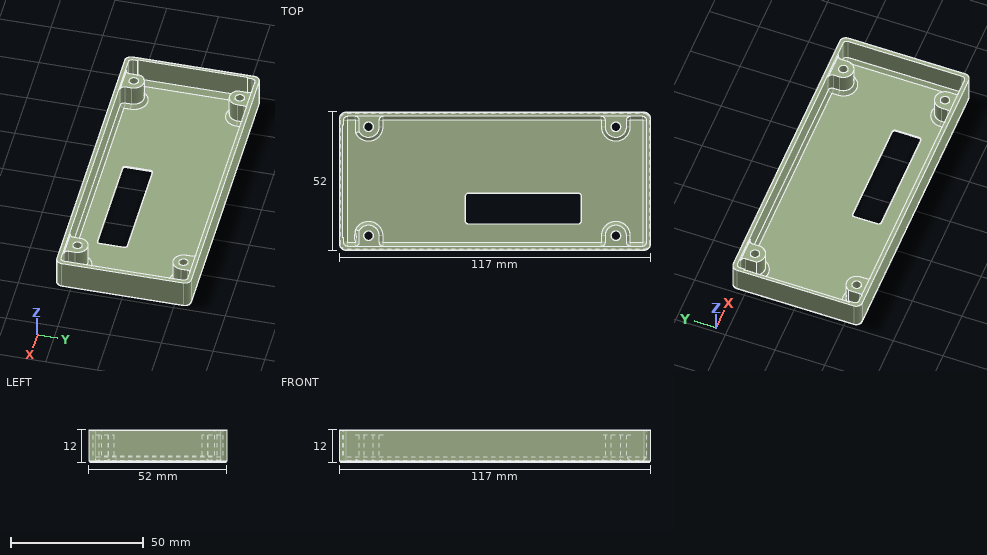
import cadquery as cq
import math

LENGTH = 117.0
WIDTH = 52.0
HEIGHT = 12.0
CORNER_RADIUS = 2.5
BOTTOM_CHAMFER = 0.5

WALL = 1.5
FLOOR = 0.6
INNER_RADIUS = 1.5
FLOOR_CHAMFER = 1.4

RELIEF_DEPTH = 0.4
RELIEF_WIDTH = 42.4

POST_CENTER_X = -1.0
POST_SPACING_X = 93.0
POST_SPACING_Y = 41.0
POST_RADIUS = 4.0
POST_FLAT_OFFSET = 3.5
POST_TOP_DROP = 1.8
HOLE_DIAMETER = 3.5

WINDOW_LENGTH = 43.5
WINDOW_WIDTH = 11.5
WINDOW_X = 10.6
WINDOW_Y = -10.3
WINDOW_RADIUS = 1.0

CAVITY_LENGTH = LENGTH - 2 * WALL
CAVITY_WIDTH = WIDTH - 2 * WALL
POST_TOP = HEIGHT - POST_TOP_DROP
POST_POINTS = [
    (POST_CENTER_X + side_x * POST_SPACING_X / 2, side_y * POST_SPACING_Y / 2)
    for side_x in (-1, 1)
    for side_y in (-1, 1)
]


def outer_block():
    block = cq.Workplane("XY").rect(LENGTH, WIDTH).extrude(HEIGHT)
    block = block.edges("|Z").fillet(CORNER_RADIUS)
    return block.faces("<Z").edges().chamfer(BOTTOM_CHAMFER)


def post_blank(x, y):
    """Round-ended post that runs outward past the cavity side; -X posts have a flat."""
    round_end = cq.Workplane("XY").center(x, y).circle(POST_RADIUS).extrude(HEIGHT)
    reach = math.copysign(WIDTH / 2, y) - y
    web = (
        cq.Workplane("XY")
        .center(x, y + reach / 2)
        .rect(2 * POST_RADIUS, abs(reach))
        .extrude(HEIGHT)
    )
    post = round_end.union(web)
    if x < 0:
        flat_cutter = (
            cq.Workplane("XY")
            .center(x - POST_FLAT_OFFSET - POST_RADIUS, y)
            .rect(2 * POST_RADIUS, WIDTH)
            .extrude(HEIGHT)
        )
        post = post.cut(flat_cutter)
    return post


def lower_cavity():
    """Space around the posts, with rounded corners and a sloped floor edge."""
    space = (
        cq.Workplane("XY")
        .workplane(offset=FLOOR)
        .rect(CAVITY_LENGTH, CAVITY_WIDTH)
        .extrude(POST_TOP - FLOOR)
    )
    for x, y in POST_POINTS:
        space = space.cut(post_blank(x, y))
    space = space.edges("|Z and (<Y or >Y)").fillet(INNER_RADIUS)
    return space.faces("<Z").edges().chamfer(FLOOR_CHAMFER)


def upper_cavity():
    """Open space between the post tops and the rim."""
    return (
        cq.Workplane("XY")
        .workplane(offset=POST_TOP)
        .rect(CAVITY_LENGTH, CAVITY_WIDTH)
        .extrude(HEIGHT - POST_TOP)
        .edges("|Z")
        .fillet(INNER_RADIUS)
    )


def wall_relief():
    """Strip along the -X wall; its lower end continues the floor slope outward."""
    inner_x = -CAVITY_LENGTH / 2 + FLOOR_CHAMFER
    outer_x = -CAVITY_LENGTH / 2 - RELIEF_DEPTH
    slope_rise = inner_x - outer_x
    return (
        cq.Workplane("XZ")
        .moveTo(inner_x, FLOOR)
        .lineTo(outer_x, FLOOR + slope_rise)
        .lineTo(outer_x, HEIGHT)
        .lineTo(inner_x, HEIGHT)
        .close()
        .extrude(RELIEF_WIDTH / 2, both=True)
    )


def screw_holes():
    return cq.Workplane("XY").pushPoints(POST_POINTS).circle(HOLE_DIAMETER / 2).extrude(HEIGHT)


def window():
    return (
        cq.Workplane("XY")
        .center(WINDOW_X, WINDOW_Y)
        .rect(WINDOW_LENGTH, WINDOW_WIDTH)
        .extrude(HEIGHT)
        .edges("|Z")
        .fillet(WINDOW_RADIUS)
    )


result = (
    outer_block()
    .cut(lower_cavity())
    .cut(upper_cavity())
    .cut(wall_relief())
    .cut(screw_holes())
    .cut(window())
)